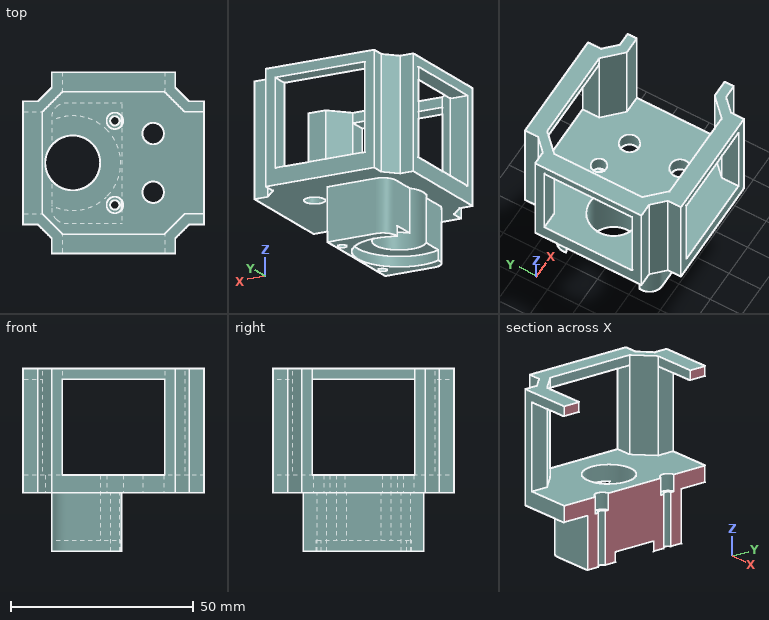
import cadquery as cq

WIDTH = 49.7
TOTAL_HEIGHT = 50.1
FRAME_HEIGHT = 34.1
BLOCK_HEIGHT = TOTAL_HEIGHT - FRAME_HEIGHT

ARM_WIDTH = 33.85
NOTCH_BEVEL = 3.75
CAVITY_WIDTH = 39.0
CAVITY_BEVEL = 5.5
FLOOR_THICKNESS = 4.95
TOP_RAIL_HEIGHT = 3
OPENING_WIDTH = CAVITY_WIDTH - 2 * CAVITY_BEVEL
WINDOW_HEIGHT = FRAME_HEIGHT - FLOOR_THICKNESS - TOP_RAIL_HEIGHT

BLOCK_MIN_X = -17.0
BLOCK_MAX_X = 2.25
BLOCK_WIDTH = 33.05
BLOCK_CORNER_RADIUS = 4.05

BORE_X = -11.15
BORE_DIAMETER = 15.0
RECESS_DIAMETER = 26.05
RECESS_DEPTH = 3

SCREW_X = 0.35
SCREW_SPACING = 23.05
SCREW_HEAD_DIAMETER = 4.5
SCREW_DIAMETER = 2.5

FLOOR_HOLE_X = 10.85
FLOOR_HOLE_SPACING = 16.1
FLOOR_HOLE_DIAMETER = 5.8


def box_on_floor(size_x, size_y, height):
    """Centred box standing on the upper face of the floor."""
    box = cq.Workplane("XY").box(size_x, size_y, height, centered=(True, True, False))
    return box.translate((0, 0, FLOOR_THICKNESS))


def cylinder(x, y, diameter, bottom, top):
    """Vertical cylinder between two heights."""
    plane = cq.Workplane("XY").workplane(offset=bottom)
    return plane.center(x, y).circle(diameter / 2).extrude(top - bottom)


def frame_body():
    """Cross-shaped prism with a beveled inner corner in each notch."""
    cross = cq.Workplane("XY").rect(WIDTH, ARM_WIDTH).extrude(FRAME_HEIGHT)
    cross = cross.union(cq.Workplane("XY").rect(ARM_WIDTH, WIDTH).extrude(FRAME_HEIGHT))
    core_width = ARM_WIDTH + 2 * NOTCH_BEVEL
    core = cq.Workplane("XY").rect(core_width, core_width).extrude(FRAME_HEIGHT)
    core = core.edges("|Z").chamfer(NOTCH_BEVEL)
    return cross.union(core)


def cavity():
    """Octagonal space above the floor, open at the top and at the +X side."""
    height = FRAME_HEIGHT - FLOOR_THICKNESS
    octagon = box_on_floor(CAVITY_WIDTH, CAVITY_WIDTH, height).edges("|Z").chamfer(CAVITY_BEVEL)
    side_opening = box_on_floor(WIDTH / 2, OPENING_WIDTH, height).translate((WIDTH / 4, 0, 0))
    return octagon.union(side_opening)


def windows():
    """Rectangular openings through the side walls."""
    along_x = box_on_floor(WIDTH, OPENING_WIDTH, WINDOW_HEIGHT)
    along_y = box_on_floor(OPENING_WIDTH, WIDTH, WINDOW_HEIGHT)
    return along_x.union(along_y)


def mounting_block():
    """Block below the floor with rounded corners on its -X side."""
    block = cq.Workplane("XY").rect(BLOCK_MAX_X - BLOCK_MIN_X, BLOCK_WIDTH).extrude(-BLOCK_HEIGHT)
    block = block.edges("|Z and <X").fillet(BLOCK_CORNER_RADIUS)
    return block.translate(((BLOCK_MIN_X + BLOCK_MAX_X) / 2, 0, 0))


result = frame_body().cut(cavity()).cut(windows()).union(mounting_block())

result = result.cut(cylinder(BORE_X, 0, BORE_DIAMETER, -BLOCK_HEIGHT, FLOOR_THICKNESS))
result = result.cut(cylinder(BORE_X, 0, RECESS_DIAMETER, -BLOCK_HEIGHT, RECESS_DEPTH - BLOCK_HEIGHT))

for side in (-1, 1):
    screw_y = side * SCREW_SPACING / 2
    floor_hole_y = side * FLOOR_HOLE_SPACING / 2
    result = result.cut(cylinder(SCREW_X, screw_y, SCREW_HEAD_DIAMETER, 0, FLOOR_THICKNESS))
    result = result.cut(cylinder(SCREW_X, screw_y, SCREW_DIAMETER, -BLOCK_HEIGHT, 0))
    result = result.cut(cylinder(FLOOR_HOLE_X, floor_hole_y, FLOOR_HOLE_DIAMETER, 0, FLOOR_THICKNESS))